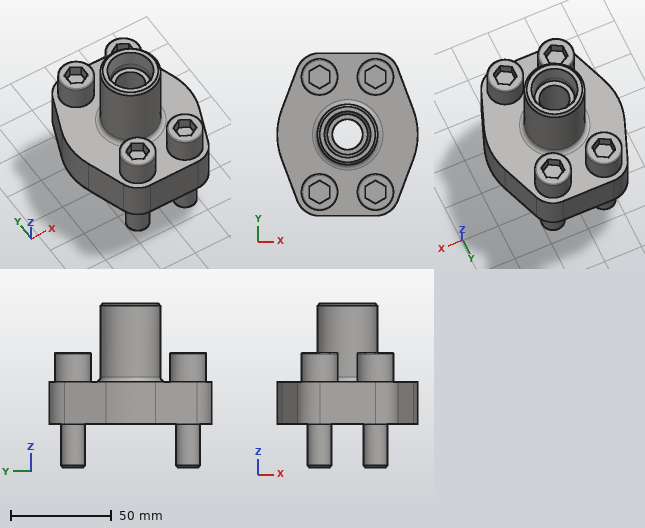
import cadquery as cq
import math

flange_thickness = 21.0
flange_length = 81.0
side_radius = 35.0

bolt_spacing_x = 27.8
bolt_spacing_y = 57.2

shank_diameter = 12.0
shank_tip_z = -21.5
shank_chamfer = 1.0
head_diameter = 18.0
head_top_z = 35.5
head_edge_radius = 0.6
hex_across_flats = 10.0
hex_depth = 6.0

tube_diameter = 30.0
tube_top_z = 60.0
tube_chamfer = 1.2
root_radius = 2.5
bore_diameter = 15.0
socket_diameter = 20.0
socket_depth = 10.5
cone_mouth_diameter = 23.0
cone_half_angle = 12.0

bolt_x = bolt_spacing_x / 2
bolt_y = bolt_spacing_y / 2
corner_radius = flange_length / 2 - bolt_y


def make_flange():
    """Plate whose side arcs, centred on the axis, run tangent into the four corner arcs."""
    center_distance = math.hypot(bolt_x, bolt_y)
    center_angle = math.atan2(bolt_y, bolt_x)
    tangent_angle = center_angle - math.acos((side_radius - corner_radius) / center_distance)
    corner_mid_angle = (tangent_angle + math.pi / 2) / 2

    side_x = side_radius * math.cos(tangent_angle)
    side_y = side_radius * math.sin(tangent_angle)
    corner_x = bolt_x + corner_radius * math.cos(tangent_angle)
    corner_y = bolt_y + corner_radius * math.sin(tangent_angle)
    corner_mid_x = bolt_x + corner_radius * math.cos(corner_mid_angle)
    corner_mid_y = bolt_y + corner_radius * math.sin(corner_mid_angle)
    end_y = flange_length / 2

    return (
        cq.Workplane("XY")
        .moveTo(side_x, -side_y)
        .threePointArc((side_radius, 0), (side_x, side_y))
        .lineTo(corner_x, corner_y)
        .threePointArc((corner_mid_x, corner_mid_y), (bolt_x, end_y))
        .lineTo(-bolt_x, end_y)
        .threePointArc((-corner_mid_x, corner_mid_y), (-corner_x, corner_y))
        .lineTo(-side_x, side_y)
        .threePointArc((-side_radius, 0), (-side_x, -side_y))
        .lineTo(-corner_x, -corner_y)
        .threePointArc((-corner_mid_x, -corner_mid_y), (-bolt_x, -end_y))
        .lineTo(bolt_x, -end_y)
        .threePointArc((corner_mid_x, -corner_mid_y), (corner_x, -corner_y))
        .close()
        .extrude(flange_thickness)
    )


def make_tube():
    """Tube on the flange, with a chamfered rim and a concave fillet at its root."""
    tube_radius = tube_diameter / 2
    root_top_z = flange_thickness + root_radius
    fillet_offset = root_radius * (1 - math.sqrt(0.5))
    return (
        cq.Workplane("XZ")
        .moveTo(0, 0)
        .lineTo(tube_radius + root_radius, 0)
        .lineTo(tube_radius + root_radius, flange_thickness)
        .threePointArc(
            (tube_radius + fillet_offset, flange_thickness + fillet_offset),
            (tube_radius, root_top_z),
        )
        .lineTo(tube_radius, tube_top_z - tube_chamfer)
        .lineTo(tube_radius - tube_chamfer, tube_top_z)
        .lineTo(0, tube_top_z)
        .close()
        .revolve(360, (0, 0, 0), (0, 1, 0))
    )


def make_bore():
    """Through bore with a stepped socket and a conical mouth at the top of the tube."""
    bore_radius = bore_diameter / 2
    socket_radius = socket_diameter / 2
    mouth_radius = cone_mouth_diameter / 2
    cone_depth = (mouth_radius - socket_radius) / math.tan(math.radians(cone_half_angle))
    return (
        cq.Workplane("XZ")
        .moveTo(0, 0)
        .lineTo(bore_radius, 0)
        .lineTo(bore_radius, tube_top_z - socket_depth)
        .lineTo(socket_radius, tube_top_z - socket_depth)
        .lineTo(socket_radius, tube_top_z - cone_depth)
        .lineTo(mouth_radius, tube_top_z)
        .lineTo(0, tube_top_z)
        .close()
        .revolve(360, (0, 0, 0), (0, 1, 0))
    )


def make_screw():
    """Socket head cap screw on the Z axis; its head rests on the flange top."""
    shank = (
        cq.Workplane("XY", origin=(0, 0, shank_tip_z))
        .circle(shank_diameter / 2)
        .extrude(flange_thickness - shank_tip_z)
        .faces("<Z")
        .chamfer(shank_chamfer)
    )
    head = (
        cq.Workplane("XY", origin=(0, 0, flange_thickness))
        .circle(head_diameter / 2)
        .extrude(head_top_z - flange_thickness)
        .faces(">Z")
        .fillet(head_edge_radius)
    )
    hex_socket = (
        cq.Workplane("XY", origin=(0, 0, head_top_z - hex_depth))
        .polygon(6, hex_across_flats, circumscribed=True)
        .extrude(hex_depth)
    )
    return shank.union(head).cut(hex_socket)


result = make_flange().union(make_tube()).cut(make_bore())

screw = make_screw()
for x in (-bolt_x, bolt_x):
    for y in (-bolt_y, bolt_y):
        result = result.union(screw.translate((x, y, 0)))